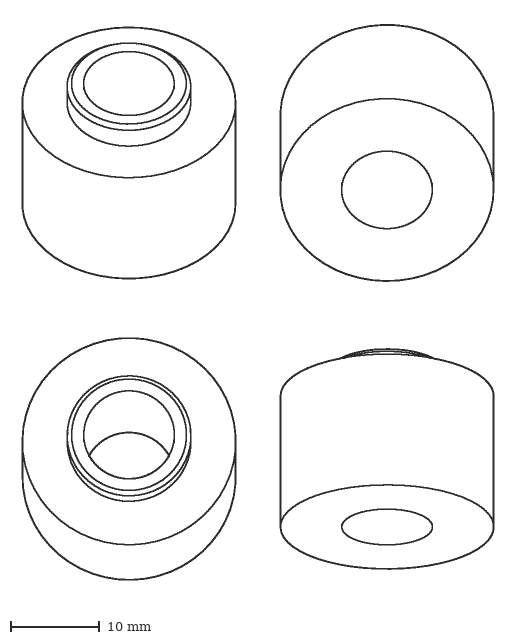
import cadquery as cq

body_diameter = 24.0
body_height = 16.0
collar_diameter = 13.92
collar_height = 3.0
collar_chamfer = 0.5
bore_diameter = 10.2

total_height = body_height + collar_height


def make_body():
    """Main cylinder standing on the XY plane."""
    return cq.Workplane("XY").circle(body_diameter / 2).extrude(body_height)


def make_collar():
    """Raised collar on the body, chamfered around its top outer edge."""
    collar = cq.Workplane("XY").workplane(offset=body_height)
    collar = collar.circle(collar_diameter / 2).extrude(collar_height)
    return collar.faces(">Z").edges().chamfer(collar_chamfer)


def make_bore():
    """Cylinder that cuts the bore through the full height."""
    return cq.Workplane("XY").circle(bore_diameter / 2).extrude(total_height)


result = make_body().union(make_collar()).cut(make_bore())